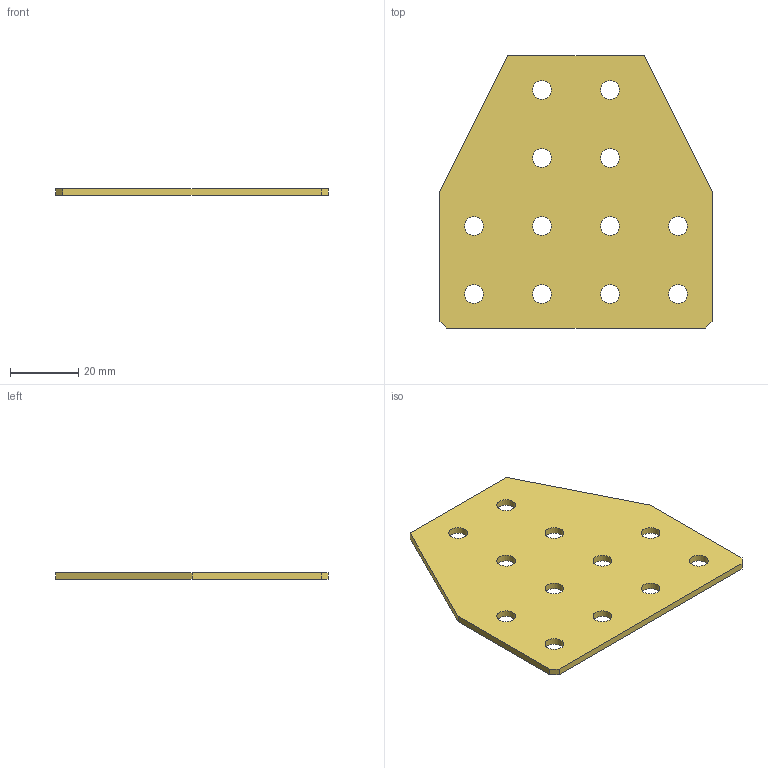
import cadquery as cq

hole_pitch = 20.0
holes_per_side = 4
plate_thickness = 2.0
corner_chamfer = 2.0
hole_diameter = 5.5

plate_size = holes_per_side * hole_pitch
half_size = plate_size / 2
stem_half_width = hole_pitch
shoulder_y = 0.0


def plate_blank():
    """Square plate tapering to a narrow stem at +Y, with chamfered corners at -Y."""
    right_edge = [
        (half_size - corner_chamfer, -half_size),
        (half_size, -half_size + corner_chamfer),
        (half_size, shoulder_y),
        (stem_half_width, half_size),
    ]
    left_edge = [(-x, y) for x, y in reversed(right_edge)]
    return cq.Workplane("XY").polyline(right_edge + left_edge).close().extrude(plate_thickness)


def hole_centers():
    """Grid of hole centres at mid-cell; rows above the shoulder fit only within the stem."""
    offsets = [(i + 0.5) * hole_pitch - half_size for i in range(holes_per_side)]
    return [
        (x, y)
        for y in offsets
        for x in offsets
        if y < shoulder_y or abs(x) < stem_half_width
    ]


def hole_cutters():
    """Cylinders that pass through the full plate thickness."""
    return (
        cq.Workplane("XY")
        .pushPoints(hole_centers())
        .circle(hole_diameter / 2)
        .extrude(plate_thickness)
    )


result = plate_blank().cut(hole_cutters())